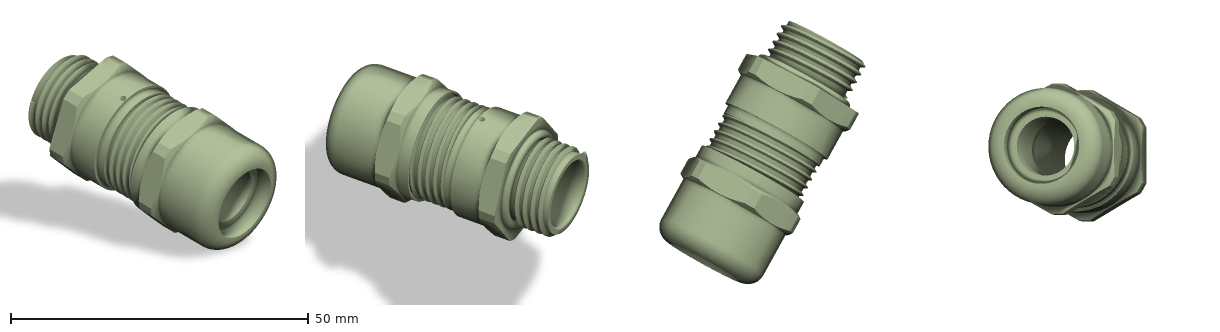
import cadquery as cq
import math

AXIS_DIRECTION = cq.Vector(0.953, 0.1385, -0.2683)
CORNER_DIRECTION = cq.Vector(0.257, 0.110, 0.961)

THREAD_PITCH = 1.5
THREAD_START_ANGLE = 90.0
RIDGE_CREST_WIDTH = 0.15
RIDGE_FLANK_ANGLE = 30.0
RIDGE_SINK = 0.1

ENTRY_ROOT_RADIUS = 14.33 / 2
ENTRY_CREST_RADIUS = 15.8 / 2
ENTRY_RIDGE_START = 0.5
ENTRY_THREAD_TURNS = 4
CAP_ROOT_RADIUS = 17.3 / 2
CAP_CREST_RADIUS = 18.44 / 2
CAP_RIDGE_START = 18.5
CAP_THREAD_TURNS = 5

HEX_ACROSS_FLATS = 20.0
HEX_CORNER_RADIUS = 11.02
HEX_OUTER_RADIUS = 11.1
HEX_CHAMFER_RADIUS = 19.62 / 2
HEX_CHAMFER_LENGTH = (HEX_OUTER_RADIUS - HEX_CHAMFER_RADIUS) * math.tan(math.radians(30))

BARREL_RADIUS = 19.62 / 2
BODY_HEX_START = 8.1
BODY_HEX_END = 11.85
BARREL_END = 17.25
THREAD_COLLAR_END = 18.9
BODY_END = 29.5
ENTRY_BORE_RADIUS = 12.0 / 2
BORE_CHAMFER = 0.2
ENTRY_BORE_DEPTH = 10.0
DIMPLE_RADIUS = 1.1 / 2
DIMPLE_ANGLE = 33.5
DIMPLE_MARGIN = 0.1
DIMPLE_POSITION = BARREL_END - DIMPLE_MARGIN - DIMPLE_RADIUS

O_RING_TUBE_RADIUS = 0.85
O_RING_POSITION = 7.9

INSERT_RADIUS = 13.8 / 2
SLEEVE_START = ENTRY_BORE_DEPTH
SLEEVE_END = 28.5
SLEEVE_BORE_RADIUS = 10.17 / 2
SLEEVE_MOUTH_RADIUS = 10.36 / 2
SLEEVE_MOUTH_LENGTH = 1.9
SLEEVE_TAPER_LENGTH = 1.2
SEAL_BORE_RADIUS = 9.92 / 2
SEAL_END = 39.5

CAP_START = 25.45
CAP_END = 42.43
CAP_RADIUS = 19.62 / 2
CAP_DOME_RADIUS = 2.9
CAP_HEX_START = 27.7
CAP_HEX_END = 31.85
CAP_MOUTH_RADIUS = 18.82 / 2
CAP_MOUTH_END = 30.0
CAP_OPENING_RADIUS = 13.0 / 2


def cylinder(radius, start, end):
    return cq.Workplane().workplane(offset=start).circle(radius).extrude(end - start)


def revolve_outline(points):
    """Turns an outline of (radius, position) points about the gland axis."""
    return cq.Workplane("XZ").polyline(points).close().revolve(360, (0, 0), (0, 1))


def thread_ridge(root_radius, crest_radius, start, turns, trim_position):
    """One right-handed ridge with a trapezoid section, cut off square at trim_position."""
    base_radius = root_radius - RIDGE_SINK
    crest_half = RIDGE_CREST_WIDTH / 2
    base_half = crest_half + (crest_radius - base_radius) * math.tan(math.radians(RIDGE_FLANK_ANGLE))
    path = cq.Wire.makeHelix(THREAD_PITCH, THREAD_PITCH * turns, base_radius)
    section = cq.Workplane("XZ").polyline([
        (base_radius, -base_half),
        (crest_radius, -crest_half),
        (crest_radius, crest_half),
        (base_radius, base_half),
    ]).close()
    ridge = section.sweep(cq.Workplane(path), isFrenet=True)
    ridge = ridge.rotate((0, 0, 0), (0, 0, 1), THREAD_START_ANGLE).translate((0, 0, start))
    return ridge.cut(cylinder(2 * crest_radius, trim_position - THREAD_PITCH, trim_position))


def hexagon(start, end, chamfer_start):
    """A hexagon with blunted corners, coned at its far end and, if asked, at its near end."""
    across_corners = HEX_ACROSS_FLATS / math.cos(math.radians(30))
    blank = cq.Workplane().workplane(offset=start).polygon(6, across_corners).extrude(end - start)
    corner_flats = (
        cq.Workplane()
        .transformed(offset=(0, 0, start), rotate=(0, 0, 30))
        .polygon(6, 2 * HEX_CORNER_RADIUS / math.cos(math.radians(30)))
        .extrude(end - start)
    )
    near_corner = [(HEX_OUTER_RADIUS, start)]
    if chamfer_start:
        near_corner = [(HEX_CHAMFER_RADIUS, start), (HEX_OUTER_RADIUS, start + HEX_CHAMFER_LENGTH)]
    envelope = revolve_outline([
        (0, start),
        *near_corner,
        (HEX_OUTER_RADIUS, end - HEX_CHAMFER_LENGTH),
        (HEX_CHAMFER_RADIUS, end),
        (0, end),
    ])
    return blank.intersect(corner_flats).intersect(envelope)


def make_body():
    entry = cylinder(ENTRY_ROOT_RADIUS, 0, BODY_HEX_START)
    barrel = cylinder(BARREL_RADIUS, BODY_HEX_START, BARREL_END)
    collar = cylinder(CAP_CREST_RADIUS, BARREL_END, THREAD_COLLAR_END)
    cap_core = cylinder(CAP_ROOT_RADIUS, THREAD_COLLAR_END, BODY_END)
    body = entry.union(hexagon(BODY_HEX_START, BODY_HEX_END, chamfer_start=False))
    body = body.union(barrel).union(collar).union(cap_core)
    body = body.union(thread_ridge(
        ENTRY_ROOT_RADIUS, ENTRY_CREST_RADIUS, ENTRY_RIDGE_START, ENTRY_THREAD_TURNS, 0
    ))
    body = body.union(thread_ridge(
        CAP_ROOT_RADIUS, CAP_CREST_RADIUS, CAP_RIDGE_START, CAP_THREAD_TURNS, THREAD_COLLAR_END
    ))
    bore = revolve_outline([
        (0, 0),
        (ENTRY_BORE_RADIUS + BORE_CHAMFER, 0),
        (ENTRY_BORE_RADIUS, BORE_CHAMFER),
        (ENTRY_BORE_RADIUS, ENTRY_BORE_DEPTH),
        (INSERT_RADIUS, ENTRY_BORE_DEPTH),
        (INSERT_RADIUS, BODY_END),
        (0, BODY_END),
    ])
    dimple = (
        cq.Workplane()
        .sphere(DIMPLE_RADIUS)
        .translate((BARREL_RADIUS, 0, DIMPLE_POSITION))
        .rotate((0, 0, 0), (0, 0, 1), DIMPLE_ANGLE)
    )
    return body.cut(bore).cut(dimple).cut(make_o_ring())


def make_o_ring():
    centre_radius = ENTRY_ROOT_RADIUS + O_RING_TUBE_RADIUS
    return cq.Workplane(cq.Solid.makeTorus(
        centre_radius, O_RING_TUBE_RADIUS, cq.Vector(0, 0, O_RING_POSITION), cq.Vector(0, 0, 1)
    ))


def make_sleeve():
    mouth_start = SLEEVE_START + SLEEVE_MOUTH_LENGTH
    mouth_end = SLEEVE_END - SLEEVE_MOUTH_LENGTH
    return revolve_outline([
        (SLEEVE_MOUTH_RADIUS, SLEEVE_START),
        (INSERT_RADIUS, SLEEVE_START),
        (INSERT_RADIUS, SLEEVE_END),
        (SLEEVE_MOUTH_RADIUS, SLEEVE_END),
        (SLEEVE_MOUTH_RADIUS, mouth_end),
        (SLEEVE_BORE_RADIUS, mouth_end - SLEEVE_TAPER_LENGTH),
        (SLEEVE_BORE_RADIUS, mouth_start + SLEEVE_TAPER_LENGTH),
        (SLEEVE_MOUTH_RADIUS, mouth_start),
    ])


def make_seal():
    return cylinder(INSERT_RADIUS, SLEEVE_END, SEAL_END).cut(cylinder(SEAL_BORE_RADIUS, SLEEVE_END, SEAL_END))


def make_cap():
    shell = cylinder(CAP_RADIUS, CAP_START, CAP_END).faces(">Z").edges().fillet(CAP_DOME_RADIUS)
    cap = shell.union(hexagon(CAP_HEX_START, CAP_HEX_END, chamfer_start=True))
    cap = cap.cut(cylinder(CAP_MOUTH_RADIUS, CAP_START, CAP_MOUTH_END))
    cap = cap.cut(cylinder(INSERT_RADIUS, CAP_MOUTH_END, SEAL_END))
    return cap.cut(cylinder(CAP_OPENING_RADIUS, SEAL_END, CAP_END))


gland_plane = cq.Plane((0, 0, 0), CORNER_DIRECTION, AXIS_DIRECTION)
bodies = [make_body(), make_o_ring(), make_sleeve(), make_seal(), make_cap()]
result = cq.Compound.makeCompound([body.val().moved(gland_plane.location) for body in bodies])